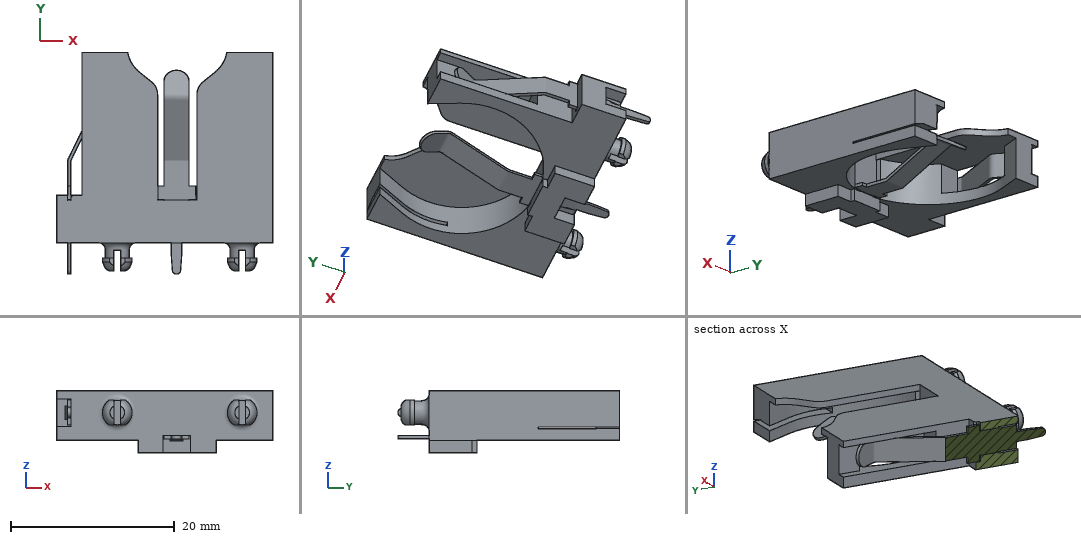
import cadquery as cq
import math


width = 26.41
depth = 23.3
height = 6.07
roof = 0.81
roof_under = height - roof
ear_width = 3.06
ear_depth = 5.85
middle_x = (ear_width + width) / 2
rail_height = 1.45

cell_radius = 10.0
cell_y = 15.6
cell_tangent_y = 19.65

window_front = 10.47
window_back = 20.42
relief_depth = 1.15

slit_front = 13.37
slit_gap = 0.2
slit_roof_rise = 0.45

slot_width = 4.77
slot_front = 5.23
throat_back = 18.12
mouth_width = 12.1
throat_corner = (3.06, 19.63)
finger_curve_start = (4.65, 20.9)

foot_width = 9.57
foot_height = 1.55

peg_x = (7.4, 22.67)
peg_z = 3.4
peg_radius = 1.5
peg_flare = 0.81
head_start = 1.82
head_straight_end = 2.33
head_cone_end = 2.85
head_end = 3.45
head_radius = 1.82
head_flat = 1.55
head_cone_radius = 1.6
head_face_radius = 0.9
split_width = 0.81
split_floor = 0.92

strip = 0.4
arm_width = 3.1
shoulder_width = 4.72
shoulder_gap = 0.08
shoulder_front = slot_front + shoulder_gap
shoulder_back = 6.97
leg_front = 0.2
leg_corner = 0.2
pin_width = 1.33
pin_taper_start = 1.3
pin_taper_end = 3.42
pin_tip_width = 1.03
pin_length = 3.82
rise_angle = math.radians(26)
fall_angle = math.radians(28.2)
bend_y = 10.15
apex_y = 17.87
tip_length = 3.47
tip_flat = 0.005
tip_radius = (arm_width - tip_flat) / 2
bend_inner_radius = 0.08
apex_inner_radius = 0.57
barb_width = 1.63
barb_front = 0.38
barb_height = 0.3

contact_x = 14.65
contact_z = 0.2
side_contact_x = 1.33
side_contact_z = 3.4
pocket_width = 3.35
pocket_depth = 2.65
notch_chamfer = 0.27


def block(x, y, z):
    """Box from three (low, high) pairs."""
    size = (x[1] - x[0], y[1] - y[0], z[1] - z[0])
    return cq.Workplane("XY").box(*size, centered=False).translate((x[0], y[0], z[0]))


def span(centre, size):
    """(low, high) pair of a length about its centre."""
    return (centre - size / 2, centre + size / 2)


def body_block():
    main = block((ear_width, width), (0, depth), (0, height))
    ear = block((0, ear_width), (0, ear_depth), (0, height))
    foot = block(span(middle_x, foot_width), (0, slot_front), (-foot_height, 0))
    lip = block(span(middle_x, slot_width), (slot_front, ear_depth), (-foot_height, 0))
    return main.union(ear).union(foot).union(lip)


def cell_compartment():
    """Round compartment, open below and at the back."""
    rise = cell_tangent_y - cell_y
    half = math.sqrt(cell_radius**2 - rise**2)
    back_half = half - (depth - cell_tangent_y) * rise / half
    return (
        cq.Workplane("XY")
        .moveTo(middle_x - half, cell_tangent_y)
        .threePointArc((middle_x, cell_y - cell_radius), (middle_x + half, cell_tangent_y))
        .lineTo(middle_x + back_half, depth)
        .lineTo(middle_x - back_half, depth)
        .close()
        .extrude(roof_under)
    )


def roof_opening():
    """Slot with a flared mouth: a finger curve on each side."""
    right_half = (
        cq.Workplane("XY")
        .moveTo(0, slot_front)
        .lineTo(slot_width / 2, slot_front)
        .lineTo(slot_width / 2, throat_back)
        .tangentArcPoint(throat_corner, relative=False)
        .lineTo(*finger_curve_start)
        .tangentArcPoint((mouth_width / 2, depth), relative=False)
        .lineTo(0, depth)
        .close()
        .extrude(roof)
    )
    opening = right_half.union(right_half.mirror("YZ"))
    return opening.translate((middle_x, 0, roof_under))


def left_window():
    window = block((ear_width, middle_x), (window_front, window_back), (rail_height, roof_under))
    relief = block((ear_width, ear_width + relief_depth), (window_back, depth), (rail_height, roof_under))
    return window.union(relief)


def right_slit():
    inner_x = middle_x + cell_radius
    slit_roof = rail_height + slit_gap
    return (
        cq.Workplane("XZ")
        .polyline([
            (middle_x, rail_height),
            (width, rail_height),
            (width, slit_roof),
            (inner_x, slit_roof + slit_roof_rise),
            (middle_x, slit_roof + slit_roof_rise),
        ])
        .close()
        .extrude(slit_front - depth)
        .translate((0, slit_front, 0))
    )


def side_contact_seat():
    inner_x = side_contact_x + strip
    pocket = block((0, inner_x), (0, pocket_depth), span(side_contact_z, pocket_width))
    tunnel = block((side_contact_x, inner_x), (pocket_depth, slot_front), span(side_contact_z, arm_width))
    notch_bottom = side_contact_z - shoulder_width / 2
    notch = (
        cq.Workplane("XY")
        .polyline([
            (side_contact_x, slot_front),
            (inner_x, slot_front),
            (inner_x, ear_depth - notch_chamfer),
            (inner_x + notch_chamfer, ear_depth),
            (side_contact_x, ear_depth),
        ])
        .close()
        .extrude(height - notch_bottom)
        .translate((0, 0, notch_bottom))
    )
    return pocket.union(tunnel).union(notch)


def bottom_contact_seat():
    upper_z = contact_z + strip
    pocket = block(span(contact_x, pocket_width), (0, pocket_depth), (-foot_height, upper_z))
    tunnel = block(span(contact_x, arm_width), (pocket_depth, slot_front), (contact_z, upper_z))
    notch = block(span(contact_x, slot_width), (slot_front, shoulder_back), (contact_z, roof_under))
    return pocket.union(tunnel).union(notch)


def peg():
    """Split snap peg pointing to -Y, centred on the origin of the front wall."""
    profile = (
        cq.Workplane("XY")
        .lineTo(peg_radius + peg_flare, 0)
        .radiusArc((peg_radius, -peg_flare), -peg_flare)
        .lineTo(peg_radius, -head_start)
        .lineTo(head_radius, -head_start)
        .lineTo(head_radius, -head_straight_end)
        .lineTo(head_cone_radius, -head_cone_end)
        .tangentArcPoint((head_face_radius, -head_end), relative=False)
        .lineTo(0, -head_end)
        .close()
    )
    turned = profile.revolve(360, (0, 0, 0), (0, 1, 0))
    reach = peg_radius + peg_flare
    head_sides = block((-reach, reach), (-head_end, -head_start), (head_flat, reach))
    split = block(span(0, split_width), (-head_end, -split_floor), (-reach, reach))
    return turned.cut(head_sides).cut(head_sides.mirror("XY")).cut(split)


def housing():
    body = body_block()
    for opening in (
        cell_compartment(),
        roof_opening(),
        left_window(),
        right_slit(),
        side_contact_seat(),
        bottom_contact_seat(),
    ):
        body = body.cut(opening)
    for x in peg_x:
        body = body.union(peg().translate((x, 0, peg_z)))
    return body


def upper_point(lower, tilt_before, tilt_after):
    """Point of the strip's upper face above a point of its lower face, mitred between two tilts."""
    mean = (tilt_before + tilt_after) / 2
    reach = strip / math.cos((tilt_before - tilt_after) / 2)
    return (lower[0] - reach * math.sin(mean), lower[1] + reach * math.cos(mean))


def bent_strip():
    """Full-width strip: flat, then rising to the apex, then falling to the tip."""
    start = (-pin_length, 0)
    bend = (bend_y, 0)
    apex = (apex_y, (apex_y - bend_y) * math.tan(rise_angle))
    tip = (apex[0] + tip_length * math.cos(fall_angle), apex[1] - tip_length * math.sin(fall_angle))
    upper_bend = upper_point(bend, 0, rise_angle)
    upper_apex = upper_point(apex, rise_angle, -fall_angle)
    upper_tip = upper_point(tip, -fall_angle, -fall_angle)
    solid = (
        cq.Workplane("YZ")
        .polyline([start, bend, apex, tip, upper_tip, upper_apex, upper_bend, (start[0], strip)])
        .close()
        .extrude(shoulder_width / 2, both=True)
    )
    bends = (
        (bend, bend_inner_radius + strip),
        (upper_bend, bend_inner_radius),
        (apex, apex_inner_radius),
        (upper_apex, apex_inner_radius + strip),
    )
    for point, radius in bends:
        solid = solid.edges(cq.selectors.NearestToPointSelector((0, *point))).fillet(radius)
    return solid


def contact_outline():
    """Plan of the strip: pin, leg, shoulders and arm; the arm runs on past the tip."""
    half_pin = pin_width / 2
    half_tip = pin_tip_width / 2
    half_arm = arm_width / 2
    half_shoulder = shoulder_width / 2
    corner_y = leg_front + leg_corner
    corner_x = half_arm - leg_corner
    return (
        cq.Workplane("XY")
        .moveTo(-half_tip, -pin_taper_end)
        .threePointArc((0, -pin_length), (half_tip, -pin_taper_end))
        .lineTo(half_pin, -pin_taper_start)
        .lineTo(half_pin, leg_front)
        .lineTo(corner_x, leg_front)
        .radiusArc((half_arm, corner_y), -leg_corner)
        .lineTo(half_arm, shoulder_front)
        .lineTo(half_shoulder, shoulder_front)
        .lineTo(half_shoulder, shoulder_back)
        .lineTo(half_arm, shoulder_back)
        .lineTo(half_arm, depth)
        .lineTo(-half_arm, depth)
        .lineTo(-half_arm, shoulder_back)
        .lineTo(-half_shoulder, shoulder_back)
        .lineTo(-half_shoulder, shoulder_front)
        .lineTo(-half_arm, shoulder_front)
        .lineTo(-half_arm, corner_y)
        .radiusArc((-corner_x, leg_front), -leg_corner)
        .lineTo(-half_pin, leg_front)
        .lineTo(-half_pin, -pin_taper_start)
        .close()
        .extrude(height)
    )


def contact():
    """Spring contact lying flat on Z = 0, its arm rising to +Z, its pin pointing to -Y."""
    blank = bent_strip().intersect(contact_outline())
    rounded = blank.faces(">Y").edges("not(|X)").fillet(tip_radius)
    barb = (
        cq.Workplane("YZ")
        .polyline([(barb_front, 0), (pocket_depth, 0), (pocket_depth, -barb_height)])
        .close()
        .extrude(barb_width / 2, both=True)
    )
    return rounded.union(barb)


holder = housing()
bottom_contact = contact().translate((contact_x, 0, contact_z))
side_contact = contact().rotate((0, 0, 0), (0, 1, 0), 90).translate((side_contact_x, 0, side_contact_z))

result = cq.Compound.makeCompound([holder.val(), bottom_contact.val(), side_contact.val()])